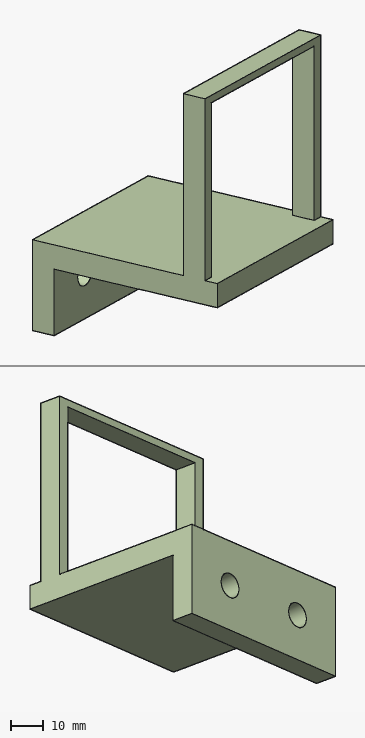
import cadquery as cq

width = 65.0
plate_length = 68.0
thickness = 8.0
flange_height = 30.0
frame_height = 60.0

frame_setback = 4.5
frame_side_width = 3.75
frame_top_width = 2.5

hole_diameter = 8.0
hole_spacing = 30.5

frame_x = plate_length - frame_setback - thickness


def block(x_size, y_size, z_size, x_start, z_start):
    """Box centred on Y, with its lowest X and Z corner at the given place."""
    return (
        cq.Workplane("XY")
        .box(x_size, y_size, z_size, centered=(False, True, False))
        .translate((x_start, 0, z_start))
    )


def bracket():
    """Horizontal shelf with a flange hanging from its front edge."""
    shelf = block(plate_length, width, thickness, 0, -thickness)
    flange = block(thickness, width, flange_height, 0, -flange_height)
    return shelf.union(flange)


def frame():
    """Upright rectangular frame, open down to the shelf."""
    opening_width = width - 2 * frame_side_width
    opening_height = frame_height - frame_top_width
    outer = block(thickness, width, frame_height, frame_x, 0)
    opening = block(thickness, opening_width, opening_height, frame_x, 0)
    return outer.cut(opening)


def mounting_holes():
    """Pair of cylinders along X at mid-height of the flange."""
    return (
        cq.Workplane("YZ")
        .pushPoints([(side * hole_spacing / 2, -flange_height / 2) for side in (-1, 1)])
        .circle(hole_diameter / 2)
        .extrude(thickness)
    )


result = bracket().union(frame()).cut(mounting_holes())